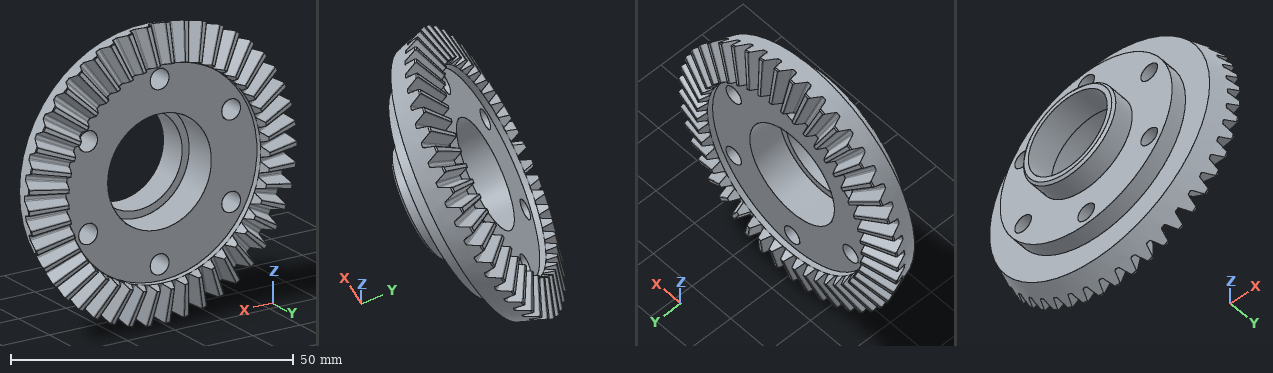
import cadquery as cq
import math


module = 1.25
tooth_count = 45
mating_tooth_count = 15
pressure_angle = math.radians(20)
addendum = module
dedendum = 1.25 * module
backlash = 0.1
root_fillet = 0.2
tip_round = 0.2
face_width = 7.5
outer_radius = 28.35

rim_back_radius = 26.45
flange_radius = 20.65
flange_thickness = 3.5
hub_radius = 11.05
hub_length = 4.8
hub_chamfer = 0.5
bore_radius = 9.5
bore_length = 6.1
bearing_seat_radius = 10.95
web_face_height = 5.0
bolt_hole_count = 6
bolt_hole_radius = 2.0
bolt_circle_radius = 17.5

pitch_radius = module * tooth_count / 2
pitch_angle = math.atan(tooth_count / mating_tooth_count)
cone_distance = pitch_radius / math.sin(pitch_angle)
pitch_height = (pitch_radius - rim_back_radius) * math.tan(pitch_angle)
apex_height = pitch_height + cone_distance * math.cos(pitch_angle)
tip_angle = pitch_angle + math.atan(addendum / cone_distance)
inner_scale = 1 - face_width / cone_distance

flange_back = -flange_thickness
hub_back = flange_back - hub_length


def tooth_point(scale, offset):
    """(radius, Y) of a point offset from the pitch line, scaled toward the apex."""
    radius = scale * (pitch_radius + offset * math.cos(pitch_angle))
    depth = scale * (cone_distance * math.cos(pitch_angle) - offset * math.sin(pitch_angle))
    return radius, apex_height - depth


def make_blank():
    """Revolved body, bored and with a solid tip cone, before the tooth gaps are cut."""
    tip_inner = tooth_point(inner_scale, addendum)
    root_inner = tooth_point(inner_scale, -dedendum)
    outer_tip_height = apex_height - outer_radius / math.tan(tip_angle)
    outer_back_height = (outer_radius - rim_back_radius) * math.tan(pitch_angle)
    seat_floor = hub_back + bore_length
    profile = [
        (bore_radius, hub_back),
        (hub_radius - hub_chamfer, hub_back),
        (hub_radius, hub_back + hub_chamfer),
        (hub_radius, flange_back),
        (flange_radius, flange_back),
        (flange_radius, 0),
        (rim_back_radius, 0),
        (outer_radius, outer_back_height),
        (outer_radius, outer_tip_height),
        tip_inner,
        root_inner,
        (root_inner[0], web_face_height),
        (bearing_seat_radius, web_face_height),
        (bearing_seat_radius, seat_floor),
        (bore_radius, seat_floor),
    ]
    return cq.Workplane("XY").polyline(profile).close().revolve(360, (0, 0, 0), (0, 1, 0))


def arc_point(center, radius, angle):
    """Point on an arc at an angle; a negative radius gives the opposite side."""
    return center[0] + radius * math.cos(angle), center[1] + radius * math.sin(angle)


def gap_section(scale):
    """Cross-section of one tooth gap on the +X side, square to the pitch cone.

    Straight flanks run from a filleted root to rounded tooth tips.
    """
    flank_slope = math.tan(pressure_angle)
    half_gap = (math.pi * module / 2 + backlash) / 2
    root_half = half_gap - dedendum * flank_slope
    tip_half = half_gap + addendum * flank_slope
    above_tip = 2 * addendum

    tangent_ratio = math.tan((math.pi / 2 - pressure_angle) / 2)
    root_center = (root_half - root_fillet * tangent_ratio, root_fillet - dedendum)
    tip_center = (tip_half + tip_round * tangent_ratio, addendum - tip_round)
    flank_normal = -pressure_angle
    root_normal = -math.pi / 2
    mid_normal = (flank_normal + root_normal) / 2

    normals = (root_normal, mid_normal, flank_normal)
    root_arc = [arc_point(root_center, root_fillet, angle) for angle in normals]
    tip_arc = [arc_point(tip_center, -tip_round, angle) for angle in reversed(normals)]
    mouth = (tip_center[0], above_tip)

    def right(point):
        return scale * point[0], scale * point[1]

    def left(point):
        return -scale * point[0], scale * point[1]

    radius, height = tooth_point(scale, 0)
    plane = cq.Plane(
        origin=(radius, height, 0),
        xDir=(0, 0, -1),
        normal=(math.sin(pitch_angle), -math.cos(pitch_angle), 0),
    )
    return (
        cq.Workplane(plane)
        .moveTo(*left(root_arc[0]))
        .lineTo(*right(root_arc[0]))
        .threePointArc(right(root_arc[1]), right(root_arc[2]))
        .lineTo(*right(tip_arc[0]))
        .threePointArc(right(tip_arc[1]), right(tip_arc[2]))
        .lineTo(*right(mouth))
        .lineTo(*left(mouth))
        .lineTo(*left(tip_arc[2]))
        .threePointArc(left(tip_arc[1]), left(tip_arc[0]))
        .lineTo(*left(root_arc[2]))
        .threePointArc(left(root_arc[1]), left(root_arc[0]))
        .close()
        .val()
    )


def make_gap():
    """Wedge narrowing toward the apex, running past both ends of the teeth."""
    overrun = 0.1
    wires = [gap_section(1 + overrun), gap_section(inner_scale - overrun)]
    return cq.Solid.makeLoft(wires, True)


def cut_teeth(blank):
    """Cut the gaps all round, leaving a tooth centred on -X."""
    gap = make_gap()
    pitch = 360 / tooth_count
    gaps = [gap.rotate(cq.Vector(0, 0, 0), cq.Vector(0, 1, 0), i * pitch) for i in range(tooth_count)]
    return blank.cut(cq.Compound.makeCompound(gaps))


def cut_bolt_holes(body):
    """Through holes on a circle, the first one on +Z."""
    first_hole_angle = 90
    holes = (
        cq.Workplane("XZ", origin=(0, apex_height, 0))
        .polarArray(bolt_circle_radius, first_hole_angle, 360, bolt_hole_count)
        .circle(bolt_hole_radius)
        .extrude(apex_height - hub_back)
    )
    return body.cut(holes)


result = cut_bolt_holes(cut_teeth(make_blank()))